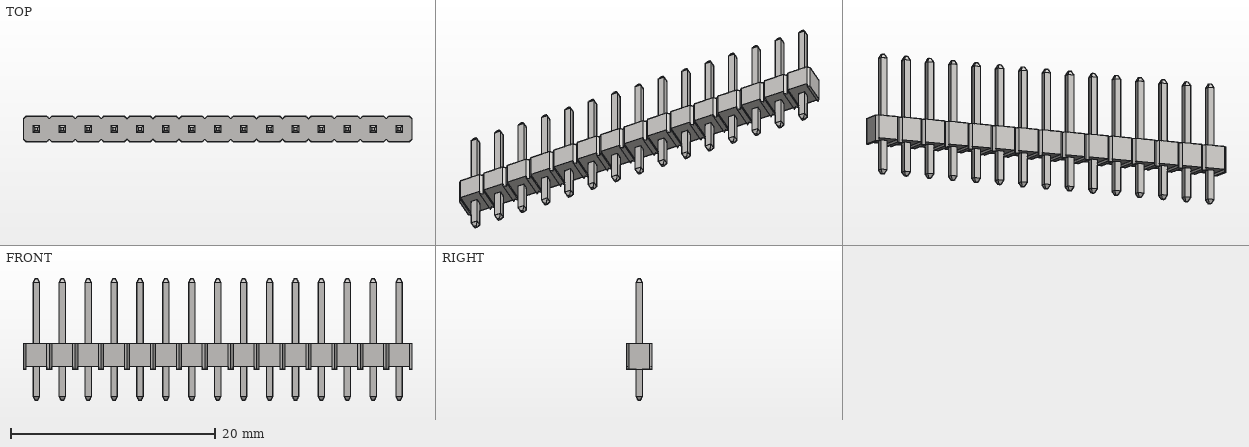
import cadquery as cq

pin_count = 15
pitch = 2.54

body_depth = 2.54
body_height = 2.54
corner_chamfer = 0.254
standoff_height = 0.254

pin_width = 0.65
pin_above_body = 6.35
pin_below_body = 3.05
tip_width = 0.25
tip_height = 0.4

face_width = pitch - 2 * corner_chamfer
pin_positions = [(i - (pin_count - 1) / 2) * pitch for i in range(pin_count)]


def make_cell(x):
    """One pitch of the bar, its four vertical edges chamfered, channelled underneath along Y."""
    block = (
        cq.Workplane("XY")
        .center(x, 0)
        .rect(pitch, body_depth)
        .extrude(body_height)
        .edges("|Z")
        .chamfer(corner_chamfer)
    )
    channel = cq.Workplane("XY").center(x, 0).rect(face_width, body_depth).extrude(standoff_height)
    return block.cut(channel)


def make_tip(x, z_base, height):
    """Tapered pin end; a negative height points it downwards."""
    return (
        cq.Workplane("XY", origin=(x, 0, z_base))
        .rect(pin_width, pin_width)
        .workplane(offset=height)
        .rect(tip_width, tip_width)
        .loft(ruled=True)
    )


def make_pin(x):
    """Square pin with a tapered tip at each end."""
    shank_bottom = -pin_below_body + tip_height
    shank_top = body_height + pin_above_body - tip_height
    shank = (
        cq.Workplane("XY", origin=(x, 0, shank_bottom))
        .rect(pin_width, pin_width)
        .extrude(shank_top - shank_bottom)
    )
    upper_tip = make_tip(x, shank_top, tip_height)
    lower_tip = make_tip(x, shank_bottom, -tip_height)
    return shank.union(upper_tip).union(lower_tip)


header = make_cell(pin_positions[0])
for x in pin_positions[1:]:
    header = header.union(make_cell(x))
for x in pin_positions:
    header = header.union(make_pin(x))

result = header.clean()